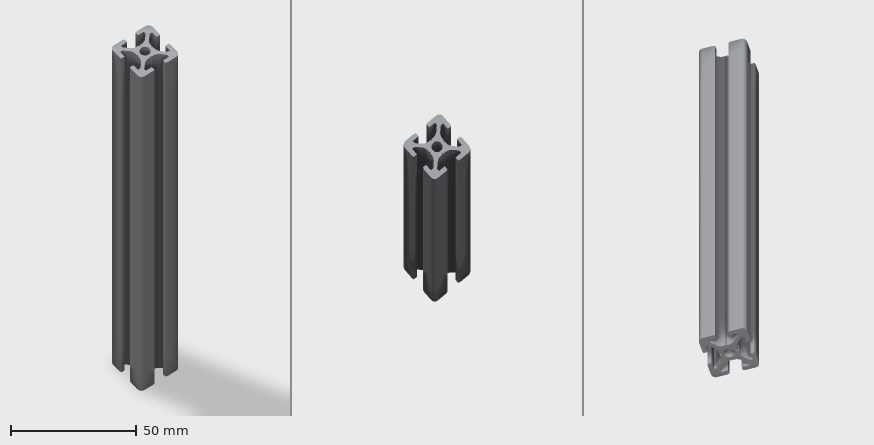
import cadquery as cq

length = 200.0
side = 20.0
corner_radius = 2.0
bore_diameter = 4.5

mouth_half_width = 2.8
bevel_half_width = 3.8
bevel_depth = 0.2
lip_thickness = 1.9
cavity_half_width = 5.8
web_offset = 1.1
core_half_width = 3.8
floor_fillet = 4.0

groove_half_width = 0.2
groove_depth = 0.8

half_side = side / 2
lip_inside = half_side - lip_thickness
web_end = cavity_half_width + web_offset
floor_half_width = core_half_width - web_offset


def slot_cutter():
    """Slot opening towards +Y, with filleted floor corners and a centre groove."""
    right_half = [
        (floor_half_width, core_half_width),
        (cavity_half_width, web_end),
        (cavity_half_width, lip_inside),
        (mouth_half_width, lip_inside),
        (mouth_half_width, half_side - bevel_depth),
        (bevel_half_width, half_side),
    ]
    left_half = [(-x, y) for x, y in reversed(right_half)]
    slot = cq.Workplane("XY").polyline(right_half + left_half).close().extrude(length)
    floor_corners = cq.selectors.BoxSelector(
        (-floor_half_width - web_offset, core_half_width - web_offset, 0),
        (floor_half_width + web_offset, core_half_width + web_offset, length),
    )
    slot = slot.edges("|Z").edges(floor_corners).fillet(floor_fillet)
    groove = (
        cq.Workplane("XY")
        .polyline([
            (-groove_half_width, core_half_width),
            (0, core_half_width - groove_depth),
            (groove_half_width, core_half_width),
        ])
        .close()
        .extrude(length)
    )
    return slot.union(groove)


bar = (
    cq.Workplane("XY")
    .rect(side, side)
    .extrude(length)
    .edges("|Z")
    .fillet(corner_radius)
)

bar = bar.faces(">Z").workplane().hole(bore_diameter)

slot = slot_cutter()
for angle in (0, 90, 180, 270):
    bar = bar.cut(slot.rotate((0, 0, 0), (0, 0, 1), angle))

result = bar